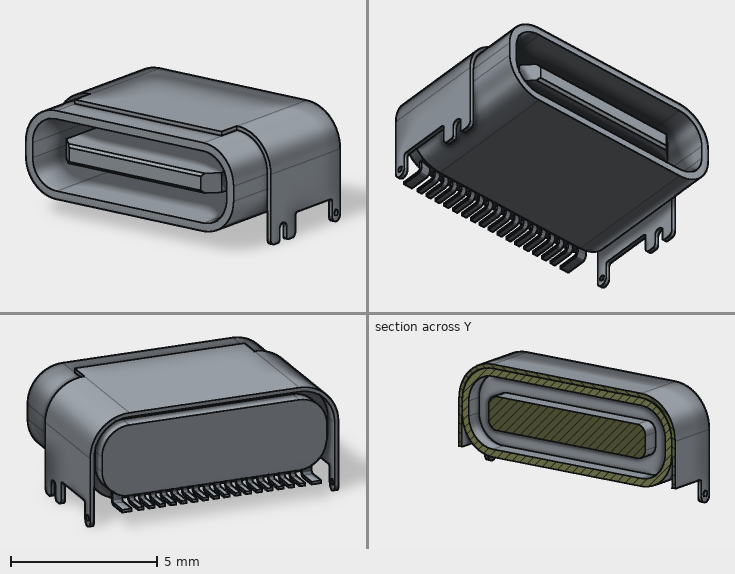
import cadquery as cq


overall_width = 9.24
cover_thickness = 0.15
shell_height = 3.16
shell_wall = 0.3
flat_width = 6.32
shell_length = 5.21

cover_rear = 5.81
cover_front = 1.9
flap_front = 1.04
leg_drop = 0.7
window_top = 0.16
window_fillet = 0.1
rear_leg_width = 0.45
leg_hole_diameter = 0.2
leg_hole_height = 0.31
front_leg_width = 1.395
slot_width = 0.39
slot_height = 0.665
leg_outer_fillet = 0.2
leg_slot_fillet = 0.1

cavity_depth = 4.435
tongue_width = 6.7
tongue_thickness = 0.7
tongue_front = 0.3
tongue_corner_run = 0.52
tongue_corner_depth = 0.52
tongue_bevel_height = 0.1
tongue_bevel_depth = 0.1
tongue_base_height = 1.22
tongue_base_length = 0.92
tongue_base_radius = 0.35

signal_count = 16
signal_span = 6.0
signal_width = 0.2
ground_width = 0.36
ground_offset = 3.52
terminal_thickness = 0.1
terminal_bottom = -0.04
terminal_reach = 0.64
terminal_rise_setback = 0.3
terminal_top = 0.74

shell_width = overall_width - 2 * cover_thickness
middle_z = shell_height / 2
signal_pitch = signal_span / (signal_count - 1)
cover_top = shell_height + cover_thickness
rear_leg_front = cover_rear - rear_leg_width
front_leg_rear = cover_front + front_leg_width


def rounded_bar(width, height, radius, y_front, y_rear):
    """Bar along Y with a rounded rectangular section centred on the connector axis."""
    bar = cq.Workplane("XY").box(width, y_rear - y_front, height).edges("|Y").fillet(radius)
    return bar.translate((0, (y_front + y_rear) / 2, middle_z))


def offset_bar(offset, y_front, y_rear):
    """Bar along Y with the shell outline grown by an offset, or shrunk if it is negative."""
    width = shell_width + 2 * offset
    height = shell_height + 2 * offset
    return rounded_bar(width, height, (width - flat_width) / 2, y_front, y_rear)


def centred_block(width, y_front, y_rear, z_bottom, z_top):
    """Box centred on X = 0 between the given Y and Z limits."""
    size = (width, y_rear - y_front, z_top - z_bottom)
    return cq.Workplane("XY").box(*size).translate((0, (y_front + y_rear) / 2, (z_bottom + z_top) / 2))


def make_shell():
    """Tube open at both ends with an even wall."""
    return offset_bar(0, 0, shell_length).cut(offset_bar(-shell_wall, 0, shell_length))


def round_corners(prism, y_values, z, radius):
    """Fillet the edges that run across the prism at the given Y positions and height."""
    for y in y_values:
        prism = prism.edges(cq.selectors.NearestToPointSelector((0, y, z))).fillet(radius)
    return prism


def cover_side_prism():
    """The side outline of the cover, with its legs, extended across the full width."""
    slot_middle = (cover_front + front_leg_rear) / 2
    slot_front = slot_middle - slot_width / 2
    slot_rear = slot_middle + slot_width / 2
    slot_top = slot_height - leg_drop
    arch_start = slot_top - slot_width / 2
    rear_leg_radius = rear_leg_width / 2
    rear_leg_middle = cover_rear - rear_leg_radius
    rear_leg_centre_z = rear_leg_radius - leg_drop
    hole_z = leg_hole_height - leg_drop

    outline = (
        cq.Workplane("YZ")
        .moveTo(cover_front, cover_top)
        .lineTo(cover_front, -leg_drop)
        .lineTo(slot_front, -leg_drop)
        .lineTo(slot_front, arch_start)
        .threePointArc((slot_middle, slot_top), (slot_rear, arch_start))
        .lineTo(slot_rear, -leg_drop)
        .lineTo(front_leg_rear, -leg_drop)
        .lineTo(front_leg_rear, window_top)
        .lineTo(rear_leg_front, window_top)
        .lineTo(rear_leg_front, rear_leg_centre_z)
        .threePointArc((rear_leg_middle, -leg_drop), (cover_rear, rear_leg_centre_z))
        .lineTo(cover_rear, cover_top)
        .close()
    )
    prism = outline.extrude(overall_width / 2, both=True)

    prism = round_corners(prism, (cover_front, front_leg_rear), -leg_drop, leg_outer_fillet)
    prism = round_corners(prism, (slot_front, slot_rear), -leg_drop, leg_slot_fillet)
    prism = round_corners(prism, (front_leg_rear, rear_leg_front), window_top, window_fillet)

    hole = (
        cq.Workplane("YZ")
        .center(rear_leg_middle, hole_z)
        .circle(leg_hole_diameter / 2)
        .extrude(overall_width / 2, both=True)
    )
    return prism.cut(hole)


def cover_arch(offset):
    """Solid with the offset shell outline above mid height and straight sides below it."""
    lower = centred_block(shell_width + 2 * offset, cover_front, cover_rear, -leg_drop, middle_z)
    return offset_bar(offset, cover_front, cover_rear).union(lower)


def make_cover():
    """Sheet over the top and both sides of the shell, ending in legs, with a flap on top."""
    sheet = cover_arch(cover_thickness).cut(cover_arch(0)).intersect(cover_side_prism())
    flap = centred_block(flat_width, flap_front, cover_front, shell_height, cover_top)
    return sheet.union(flap)


def tongue_outline(y_front):
    """Rounded bar from the given front to the insulator face, with the section of the tongue's base."""
    return rounded_bar(tongue_width, tongue_base_height, tongue_base_radius, y_front, cavity_depth)


def make_tongue():
    """Flat tongue with cut front corners, a bevelled front edge and sides flush with its base."""
    half_width = tongue_width / 2
    half_tip = half_width - tongue_corner_run
    half_thickness = tongue_thickness / 2
    half_edge = half_thickness - tongue_bevel_height
    corner_y = tongue_front + tongue_corner_depth
    bevel_y = tongue_front + tongue_bevel_depth

    plan = [
        (-half_tip, tongue_front),
        (half_tip, tongue_front),
        (half_width, corner_y),
        (half_width, cavity_depth),
        (-half_width, cavity_depth),
        (-half_width, corner_y),
    ]
    side = [
        (tongue_front, -half_edge),
        (bevel_y, -half_thickness),
        (cavity_depth, -half_thickness),
        (cavity_depth, half_thickness),
        (bevel_y, half_thickness),
        (tongue_front, half_edge),
    ]
    plan_prism = cq.Workplane("XY").polyline(plan).close().extrude(half_thickness, both=True)
    side_prism = cq.Workplane("YZ").polyline(side).close().extrude(half_width, both=True)
    slab = plan_prism.intersect(side_prism).translate((0, 0, middle_z))
    return slab.intersect(tongue_outline(tongue_front))


def make_terminal(x, width):
    """L-shaped terminal: an upright from the insulator bent rearward into a flat tail."""
    outer_radius = 2 * terminal_thickness
    upright_front = cover_rear - terminal_rise_setback
    upright_rear = upright_front + terminal_thickness
    tail_top = terminal_bottom + terminal_thickness
    tail_end = cover_rear + terminal_reach

    profile = (
        cq.Workplane("YZ", origin=(x, 0, 0))
        .moveTo(upright_front, terminal_top)
        .lineTo(upright_front, terminal_bottom + outer_radius)
        .radiusArc((upright_front + outer_radius, terminal_bottom), -outer_radius)
        .lineTo(tail_end, terminal_bottom)
        .lineTo(tail_end, tail_top)
        .lineTo(upright_front + outer_radius, tail_top)
        .radiusArc((upright_rear, terminal_bottom + outer_radius), terminal_thickness)
        .lineTo(upright_rear, terminal_top)
        .close()
    )
    return profile.extrude(width / 2, both=True)


def make_insulator():
    """Block closing the shell, with the stepped tongue in front and the terminals at the rear."""
    body = offset_bar(-shell_wall, cavity_depth, cover_rear)
    body = body.union(tongue_outline(cavity_depth - tongue_base_length))
    body = body.union(make_tongue())

    for index in range(signal_count):
        x = index * signal_pitch - signal_span / 2
        body = body.union(make_terminal(x, signal_width))
    for side in (-1, 1):
        body = body.union(make_terminal(side * ground_offset, ground_width))
    return body


shell = make_shell()
cover = make_cover()
insulator = make_insulator()

result = cq.Compound.makeCompound([shell.solids().val(), cover.solids().val(), insulator.solids().val()])